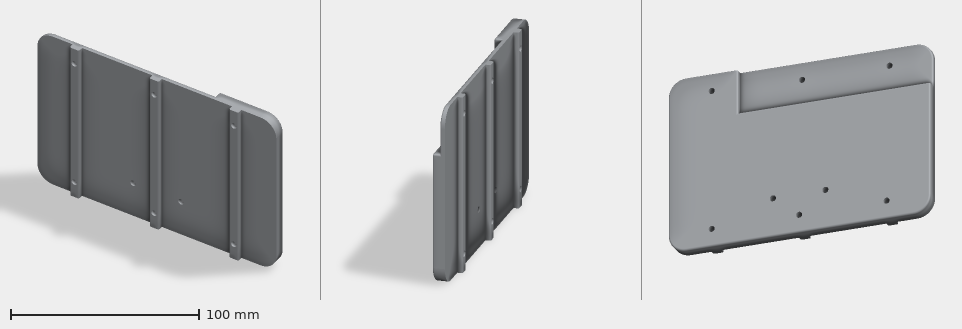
import cadquery as cq

plate_width = 149.8
plate_left_x = -75.0
plate_right_x = plate_left_x + plate_width
plate_height = 100.0
plate_thickness = 7.0
corner_radius = 10.0
edge_radius = 1.0

web_thickness = 2.8
step_width = 110.0
step_height = 25.2
step_right_x = plate_left_x + step_width
step_bottom_z = plate_height / 2 - step_height

rib_width = 5.95
rib_depth = 3.0
rib_spacing = 50.0
rib_edge_radius = 1.0
rib_positions = [-rib_spacing, 0.0, rib_spacing]

hole_diameter = 3.5
rib_hole_z = 40.0
pair_hole_x = 15.0
pair_hole_z = -28.0


def box(x_min, x_max, y_min, y_max, z_min, z_max):
    """Axis-aligned box given by its limits."""
    return cq.Workplane("XY").box(
        x_max - x_min, y_max - y_min, z_max - z_min, centered=False
    ).translate((x_min, y_min, z_min))


def stepped_plate():
    """Round-cornered plate with a thin corner and rounded back edges."""
    half_height = plate_height / 2
    plate = box(plate_left_x, plate_right_x, 0, plate_thickness, -half_height, half_height)
    plate = plate.edges("|Y").fillet(corner_radius)
    step = box(plate_left_x, step_right_x, web_thickness, plate_thickness, step_bottom_z, half_height)
    plate = plate.cut(step)

    mid_depth = (web_thickness + plate_thickness) / 2
    outer_edge_centres = [
        (plate_left_x, web_thickness, (step_bottom_z + half_height - corner_radius) / 2),
        ((plate_left_x + corner_radius + step_right_x) / 2, web_thickness, half_height),
        (plate_left_x, mid_depth, step_bottom_z),
        (step_right_x, mid_depth, half_height),
    ]
    rounded_edges = plate.faces(">Y").edges()
    for centre in outer_edge_centres:
        rounded_edges = rounded_edges.add(plate.edges(cq.NearestToPointSelector(centre)))
    return rounded_edges.fillet(edge_radius)


def rib(x_centre):
    """Upright rib with its two long front edges rounded."""
    bar = box(
        x_centre - rib_width / 2, x_centre + rib_width / 2,
        -rib_depth, 0, -plate_height / 2, plate_height / 2,
    )
    return bar.faces("<Y").edges("|Z").fillet(rib_edge_radius)


def through_hole(x, z):
    """Cylinder along Y that passes through the ribs and the plate."""
    length = rib_depth + plate_thickness
    return cq.Workplane("XZ", origin=(x, -rib_depth, z)).circle(hole_diameter / 2).extrude(-length)


result = stepped_plate()
for rib_x in rib_positions:
    result = result.union(rib(rib_x))

hole_positions = [(x, z) for x in rib_positions for z in (-rib_hole_z, rib_hole_z)]
hole_positions += [(x, pair_hole_z) for x in (-pair_hole_x, pair_hole_x)]
for hole_x, hole_z in hole_positions:
    result = result.cut(through_hole(hole_x, hole_z))